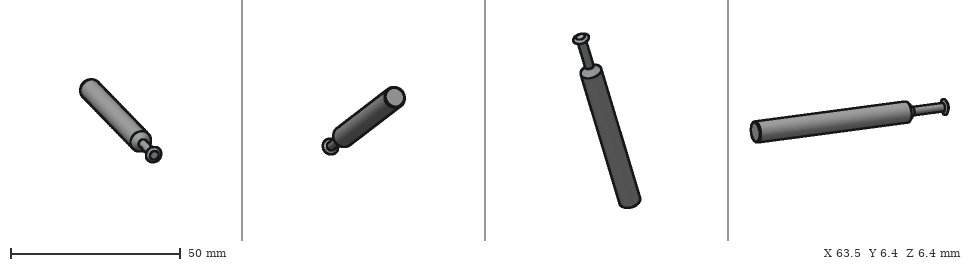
import cadquery as cq
import math

total_length = 63.5
shank_radius = 3.2
shank_end = 50.15
end_chamfer = 0.3
neck_radius = 1.3
cone_angle = math.radians(45)

ease_height = 0.2
ease_length = 0.4

disc_radius = 2.4
disc_start = 62.2
disc_rim = 62.75
tip_radius = 1.35

ease_radius = neck_radius + ease_height
cone_end = shank_end + (shank_radius - ease_radius) / math.tan(cone_angle)

profile = (
    cq.Workplane("XY")
    .moveTo(0, 0)
    .lineTo(0, shank_radius - end_chamfer)
    .lineTo(end_chamfer, shank_radius)
    .lineTo(shank_end, shank_radius)
    .lineTo(cone_end, ease_radius)
    .lineTo(cone_end + ease_length, neck_radius)
    .lineTo(disc_start, neck_radius)
    .lineTo(disc_rim, disc_radius)
    .lineTo(total_length, tip_radius)
    .lineTo(total_length, 0)
    .close()
)

result = profile.revolve(360, (0, 0, 0), (1, 0, 0))